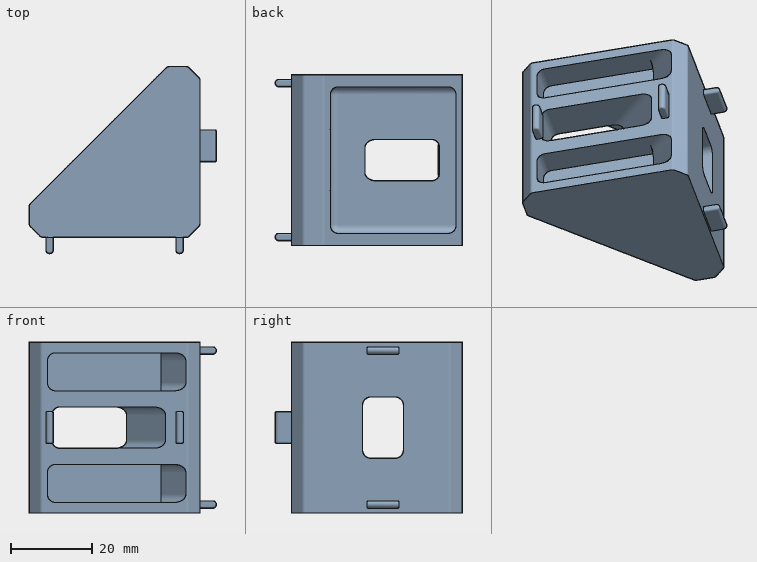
import cadquery as cq


overall_size = 46.0
body_size = 42.0
tab_length = overall_size - body_size
half_size = body_size / 2
corner_chamfer = 3.0
end_flat = 5.0
edge_round = 1.0
pocket_round = 2.0

wall_thickness = 9.55
end_wall = 3.0

recess_start = 4.5
recess_end = 38.5
recess_height = 9.35
recess_slant_depth = 6.05
recess_floor_depth = 6.6
recess_offset = 13.7
slot_start = 5.6
slot_end = 33.5
slot_height = 10.1

window_width = 10.0
window_height = 15.0
window_y = 22.5

tab_thickness = 1.9
tab_width = 7.9
tab_edge_round = 0.45
front_tab_offset = 15.95
side_tab_offset = 18.9


def make_body():
    """Chamfered triangular prism with its upright edges softened."""
    slope_start = corner_chamfer + end_flat
    far_chamfer = body_size - corner_chamfer
    outline = [
        (corner_chamfer, 0),
        (far_chamfer, 0),
        (body_size, corner_chamfer),
        (body_size, far_chamfer),
        (far_chamfer, body_size),
        (body_size - slope_start, body_size),
        (0, slope_start),
        (0, corner_chamfer),
    ]
    prism = cq.Workplane("XY").polyline(outline).close().extrude(half_size, both=True)
    return prism.edges("|Z").fillet(edge_round)


def make_slope_pocket():
    """Rounded box that leaves a -Y wall, a +X wall and two end walls."""
    return (
        cq.Workplane("XY")
        .box(body_size, body_size, body_size - 2 * end_wall)
        .edges()
        .fillet(pocket_round)
        .translate((half_size - wall_thickness, half_size + wall_thickness, 0))
    )


def make_slanted_opening(start, end, depth, height):
    """Opening entering the -Y face, with its +X end wall leaning inward at 45 degrees."""
    outline = [(start, 0), (end, 0), (end - depth, depth), (start, depth)]
    opening = cq.Workplane("XY").polyline(outline).close().extrude(height / 2, both=True)
    slanted_edges = cq.selectors.ParallelDirSelector(cq.Vector(1, -1, 0))
    opening = opening.edges("|Y").fillet(pocket_round)
    return opening.edges(slanted_edges).fillet(pocket_round)


def make_recess():
    """Slanted opening whose flat floor is sunk a little deeper, down a square step."""
    floor_length = recess_end - recess_slant_depth - recess_start
    floor = (
        cq.Workplane("XY")
        .box(floor_length, recess_floor_depth, recess_height, centered=(False, False, True))
        .edges("|Y and <X")
        .fillet(pocket_round)
        .translate((recess_start, 0, 0))
    )
    return make_slanted_opening(recess_start, recess_end, recess_slant_depth, recess_height).union(floor)


def make_window():
    """Rounded rectangular opening through the +X wall."""
    return (
        cq.Workplane("YZ")
        .center(window_y, 0)
        .rect(window_width, window_height)
        .extrude(wall_thickness + pocket_round)
        .edges("|X")
        .fillet(pocket_round)
        .translate((body_size - wall_thickness - pocket_round, 0, 0))
    )


def make_tab():
    """Tab standing up along -Y from the origin, wide along Z, with a half-round tip."""
    radius = tab_thickness / 2
    straight = tab_length - radius
    return (
        cq.Workplane("XY")
        .moveTo(-radius, 0)
        .lineTo(-radius, -straight)
        .threePointArc((0, -tab_length), (radius, -straight))
        .lineTo(radius, 0)
        .close()
        .extrude(tab_width / 2, both=True)
        .faces("|Z")
        .edges("not(>Y)")
        .fillet(tab_edge_round)
    )


result = make_body().cut(make_slope_pocket())
result = result.cut(make_slanted_opening(slot_start, slot_end, wall_thickness, slot_height))
for side in (-1, 1):
    result = result.cut(make_recess().translate((0, 0, side * recess_offset)))
result = result.cut(make_window())

tab = make_tab()
side_tab = tab.rotate((0, 0, 0), (0, 0, 1), 90).rotate((0, 0, 0), (1, 0, 0), 90)
for side in (-1, 1):
    result = result.union(tab.translate((half_size + side * front_tab_offset, 0, 0)))
    result = result.union(side_tab.translate((body_size, window_y, side * side_tab_offset)))